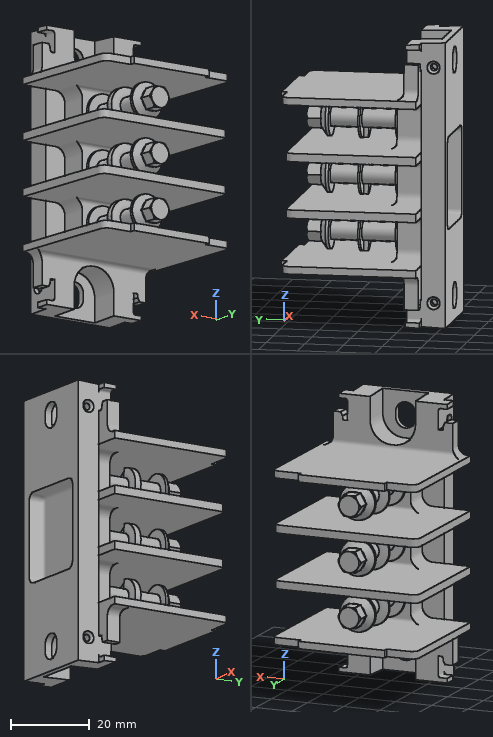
import cadquery as cq
import math


HEIGHT = 73.7
BASE_WIDTH = 25.2
BASE_DEPTH = 6.3
END_DEPTH = 10.0
END_DRAFT = 0.45

PLATE_WIDTH = 40.0
BAY_PITCH = 14.6
BAY_GAP = 12.4
OUTER_PLATE_THICKNESS = 2.0
PLATE_BACK = 41.05
INNER_PLATE_BACK = 40.1
PLATE_CORNER_RADIUS = 2.0
TONGUE_WIDTH = 23.9
TONGUE_BACK = 42.5
OUTER_PLATE_INNER_Z = BAY_PITCH + BAY_GAP / 2
OUTER_PLATE_OUTER_Z = OUTER_PLATE_INNER_Z + OUTER_PLATE_THICKNESS
INNER_PLATE_THICKNESS = BAY_PITCH - BAY_GAP

SEAT_WIDTH = 13.0
SEAT_BACK = 13.6
SEAT_SIDE_RADIUS = 2.95
SEAT_BACK_RADIUS = 1.1

POST_HALF_SPAN = 16.6
POST_TOP = 31.6
POST_FLARE_RADIUS = 2.4
POST_BACK_RADIUS = 1.5
POST_TIP_WIDTH = 2.15
POST_TIP_CHAMFER = (0.5, 1.0)
LEDGE_TOP = 29.55
LEDGE_FILLET = 0.5

EAR_SPAN = 30.1
EAR_BOTTOM = 35.15
EAR_FILLET = 0.7

MOUNT_Z = 30.4
MOUNT_HOLE_WIDTH = 5.4
MOUNT_HOLE_LENGTH = 6.8
SLOT_FLOOR = 2.0
SLOT_WIDTH = 12.6
SLOT_RADIUS = 6.0
SLOT_BOTTOM = MOUNT_Z - SLOT_RADIUS

SIDE_HOLE_Y = 3.1
SIDE_HOLE_RADIUS = 0.9
SIDE_HOLE_DEPTH = 2.95
COUNTERSINK_RADIUS = 1.6

RECESS_WIDTH = 20.05
RECESS_LENGTH = 23.9
RECESS_DEPTH = 4.05
RECESS_CORNER_RADIUS = 2.0
RECESS_DRAFT = 10.0
RECESS_FLOOR_FILLET = 0.9

FLANGE_RADIUS = 5.1
FLANGE_THICKNESS = 0.75
SHANK_RADIUS = 2.4
WASHER_RADIUS = 5.1
WASHER_FRONT = 23.5
WASHER_THICKNESS = 0.75
WASHER_BEVEL = (1.7, 0.2)
HALF_WASHER_THICKNESS = 1.4
COLLAR_FRONT = 31.7
COLLAR_RADIUS = 4.9
COLLAR_RIM = 0.8
CONE_TOP_RADIUS = 2.95
CONE_BACK = 34.05
HEX_ACROSS_FLATS = 5.5
HEX_CORNER_CHAMFER = 0.4
SCREW_BACK = 37.7


def block(width, y_front, y_back, z_low, z_high):
    """Box centred on X = 0 between the given Y and Z limits."""
    return (
        cq.Workplane("XY")
        .box(width, y_back - y_front, z_high - z_low, centered=(True, False, False))
        .translate((0, y_front, z_low))
    )


def front_sketch(y):
    """Workplane at depth y with local axes X and Z; negative extrusions run towards +Y."""
    return cq.Workplane("XZ", origin=(0, y, 0))


def mirrored(body):
    """The body together with its copy on the other side of Z = 0."""
    return body.union(body.mirror("XY"))


def drafted_envelope(width):
    """Full-height slab whose ends taper inwards from the mounting face."""
    half = HEIGHT / 2
    outline = [(0, -half), (0, half), (END_DEPTH, half - END_DRAFT), (END_DEPTH, END_DRAFT - half)]
    return cq.Workplane("YZ").polyline(outline).close().extrude(width / 2, both=True)


def base():
    between_ends = block(BASE_WIDTH, BASE_DEPTH, END_DEPTH, -OUTER_PLATE_INNER_Z, OUTER_PLATE_INNER_Z)
    return drafted_envelope(BASE_WIDTH).cut(between_ends)


def ears():
    """Thin lugs on both sides of the upper base end, filleted into its sides."""
    wall = BASE_WIDTH / 2
    profile = (
        front_sketch(BASE_DEPTH)
        .moveTo(0, HEIGHT / 2)
        .lineTo(EAR_SPAN / 2, HEIGHT / 2)
        .lineTo(EAR_SPAN / 2, EAR_BOTTOM)
        .lineTo(wall + EAR_FILLET, EAR_BOTTOM)
        .radiusArc((wall, EAR_BOTTOM - EAR_FILLET), -EAR_FILLET)
        .lineTo(0, EAR_BOTTOM - EAR_FILLET)
        .close()
        .extrude(BASE_DEPTH - END_DEPTH)
    )
    return profile.union(profile.mirror("YZ")).intersect(drafted_envelope(EAR_SPAN))


def posts():
    """Upper pair of posts, flared at the foot where they stand on the outer plate."""
    foot = OUTER_PLATE_OUTER_Z
    foot_back = END_DEPTH + POST_BACK_RADIUS
    chamfer_width, chamfer_height = POST_TIP_CHAMFER
    tip_x = POST_HALF_SPAN - POST_TIP_WIDTH
    inner_x = tip_x - chamfer_width
    half = (
        front_sketch(BASE_DEPTH)
        .moveTo(0, foot)
        .lineTo(POST_HALF_SPAN + POST_FLARE_RADIUS, foot)
        .radiusArc((POST_HALF_SPAN, foot + POST_FLARE_RADIUS), POST_FLARE_RADIUS)
        .lineTo(POST_HALF_SPAN, POST_TOP)
        .lineTo(tip_x, POST_TOP)
        .lineTo(inner_x, POST_TOP - chamfer_height)
        .lineTo(inner_x, LEDGE_TOP + LEDGE_FILLET)
        .radiusArc((inner_x - LEDGE_FILLET, LEDGE_TOP), LEDGE_FILLET)
        .lineTo(0, LEDGE_TOP)
        .close()
        .extrude(BASE_DEPTH - foot_back)
    )
    side_outline = (
        cq.Workplane("YZ")
        .moveTo(BASE_DEPTH, foot)
        .lineTo(foot_back, foot)
        .radiusArc((END_DEPTH, foot + POST_BACK_RADIUS), POST_BACK_RADIUS)
        .lineTo(END_DEPTH, POST_TOP)
        .lineTo(BASE_DEPTH, POST_TOP)
        .close()
        .extrude(PLATE_WIDTH / 2, both=True)
    )
    return half.union(half.mirror("YZ")).intersect(side_outline)


def plate(back, z_low, z_high):
    """Divider plate with rounded rear corners."""
    body = block(PLATE_WIDTH, BASE_DEPTH, back, z_low, z_high)
    return body.edges("|Z and >Y").fillet(PLATE_CORNER_RADIUS)


def outer_plate():
    tongue = block(TONGUE_WIDTH, BASE_DEPTH, TONGUE_BACK, OUTER_PLATE_INNER_Z, OUTER_PLATE_OUTER_Z)
    return plate(PLATE_BACK, OUTER_PLATE_INNER_Z, OUTER_PLATE_OUTER_Z).union(tongue)


def inner_plate():
    middle = BAY_PITCH / 2
    half = INNER_PLATE_THICKNESS / 2
    return plate(INNER_PLATE_BACK, middle - half, middle + half)


def flared_outline(sketch, near, far, radius, flare_near):
    """Outline as high as a bay, from near to far + radius, with concave arcs against both plates.

    The far side is always flared; the near side is flared if flare_near is set, else straight.
    """
    top = BAY_GAP / 2
    outline = (
        sketch.moveTo(near, -top)
        .lineTo(far + radius, -top)
        .radiusArc((far, radius - top), radius)
        .lineTo(far, top - radius)
        .radiusArc((far + radius, top), radius)
        .lineTo(near, top)
    )
    if flare_near:
        outline = (
            outline.radiusArc((near + radius, top - radius), radius)
            .lineTo(near + radius, radius - top)
            .radiusArc((near, -top), radius)
        )
    return outline.close()


def seat():
    """Screw seat of the middle bay, flared into the plates on its sides and its back."""
    half = SEAT_WIDTH / 2
    across = flared_outline(
        front_sketch(BASE_DEPTH), -half - SEAT_SIDE_RADIUS, half, SEAT_SIDE_RADIUS, True
    ).extrude(BASE_DEPTH - SEAT_BACK - SEAT_BACK_RADIUS)
    along = flared_outline(
        cq.Workplane("YZ"), BASE_DEPTH, SEAT_BACK, SEAT_BACK_RADIUS, False
    ).extrude(PLATE_WIDTH / 2, both=True)
    return across.intersect(along)


def mounting_cut():
    """Upper mounting hole and the open-ended slot with a rounded bottom behind it."""
    hole = (
        front_sketch(0)
        .center(0, MOUNT_Z)
        .slot2D(MOUNT_HOLE_LENGTH, MOUNT_HOLE_WIDTH, 90)
        .extrude(-END_DEPTH)
    )
    slot = block(SLOT_WIDTH, SLOT_FLOOR, TONGUE_BACK, SLOT_BOTTOM, HEIGHT / 2)
    return hole.union(slot.edges("|Y and <Z").fillet(SLOT_RADIUS))


def side_holes():
    """Pair of blind holes with 45 degree countersinks in the two sides of the upper base end."""
    wall = BASE_WIDTH / 2
    countersink_depth = COUNTERSINK_RADIUS - SIDE_HOLE_RADIUS
    hole = (
        cq.Workplane("XY")
        .polyline(
            [
                (-wall, 0),
                (-wall, COUNTERSINK_RADIUS),
                (countersink_depth - wall, SIDE_HOLE_RADIUS),
                (SIDE_HOLE_DEPTH - wall, SIDE_HOLE_RADIUS),
                (SIDE_HOLE_DEPTH - wall, 0),
            ]
        )
        .close()
        .revolve(360, (0, 0, 0), (1, 0, 0))
        .translate((0, SIDE_HOLE_Y, MOUNT_Z))
    )
    return hole.union(hole.mirror("YZ"))


def recess():
    corners = cq.Sketch().rect(RECESS_WIDTH, RECESS_LENGTH).vertices().fillet(RECESS_CORNER_RADIUS)
    pocket = front_sketch(0).placeSketch(corners).extrude(-RECESS_DEPTH, taper=RECESS_DRAFT)
    return pocket.faces(">Y").edges().fillet(RECESS_FLOOR_FILLET)


def build_housing():
    body = base()
    for feature in (ears(), posts(), outer_plate(), inner_plate()):
        body = body.union(mirrored(feature))
    for bay in (-1, 0, 1):
        body = body.union(seat().translate((0, 0, bay * BAY_PITCH)))
    for cavity in (mounting_cut(), side_holes()):
        body = body.cut(mirrored(cavity))
    return body.cut(recess())


def turned(profile):
    """Solid of revolution about Y from (radius, y) points."""
    return cq.Workplane("XY").polyline(profile).close().revolve(360, (0, 0, 0), (0, 1, 0))


def washer():
    """Full bevelled washer with a half washer in front of it on the +X side."""
    bevel_width, bevel_height = WASHER_BEVEL
    rim = WASHER_RADIUS
    shoulder = rim - bevel_width
    back = WASHER_FRONT + WASHER_THICKNESS
    half_front = WASHER_FRONT - HALF_WASHER_THICKNESS
    full_disc = turned(
        [(0, WASHER_FRONT), (rim, WASHER_FRONT), (rim, back - bevel_height), (shoulder, back), (0, back)]
    )
    front_disc = turned(
        [
            (0, half_front),
            (shoulder, half_front),
            (rim, half_front + bevel_height),
            (rim, WASHER_FRONT),
            (0, WASHER_FRONT),
        ]
    )
    positive_x = block(2 * rim, half_front, WASHER_FRONT, -rim, rim).translate((rim, 0, 0))
    return full_disc.union(front_disc.intersect(positive_x))


def hex_head():
    """Hexagon along Y with corners at +X and -X, trimmed by a cone at its free end."""
    flat_radius = HEX_ACROSS_FLATS / 2
    corner_radius = flat_radius / math.cos(math.pi / 6)
    prism = front_sketch(COLLAR_FRONT).polygon(6, 2 * corner_radius).extrude(COLLAR_FRONT - SCREW_BACK)
    trim = turned(
        [
            (0, COLLAR_FRONT),
            (corner_radius, COLLAR_FRONT),
            (corner_radius, SCREW_BACK - HEX_CORNER_CHAMFER),
            (flat_radius, SCREW_BACK),
            (0, SCREW_BACK),
        ]
    )
    return prism.intersect(trim)


def build_screw():
    """Clamp screw of the middle bay: flange, shank, washers, coned collar and hexagon head."""
    flange_back = SEAT_BACK + FLANGE_THICKNESS
    body = turned(
        [
            (0, SEAT_BACK),
            (FLANGE_RADIUS, SEAT_BACK),
            (FLANGE_RADIUS, flange_back),
            (SHANK_RADIUS, flange_back),
            (SHANK_RADIUS, COLLAR_FRONT),
            (COLLAR_RADIUS, COLLAR_FRONT),
            (COLLAR_RADIUS, COLLAR_FRONT + COLLAR_RIM),
            (CONE_TOP_RADIUS, CONE_BACK),
            (0, CONE_BACK),
        ]
    )
    return body.union(washer()).union(hex_head())


housing = build_housing()
screws = [build_screw().translate((0, 0, bay * BAY_PITCH)) for bay in (-1, 0, 1)]

result = cq.Compound.makeCompound([housing.val(), *[screw.val() for screw in screws]])